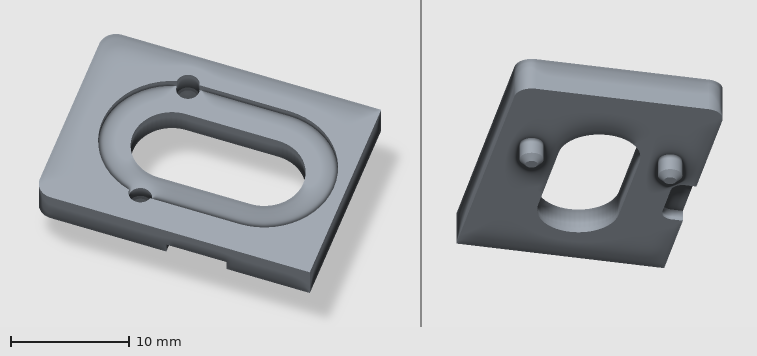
import cadquery as cq

plate_length = 24.8
plate_width = 18.0
plate_thickness = 3.0
corner_radius = 1.5

slot_center_x = 13.35
slot_straight = 8.3
slot_width = 7.0
recess_width = 12.5
recess_depth = 0.7

pin_x = 8.5
pin_y = 6.0
pin_diameter = 2.05
pin_length = 2.0
pin_tip_chamfer = 0.5
socket_diameter = 2.0
socket_depth = 2.0
socket_floor_chamfer = 0.17

notch_start_x = 11.9
notch_length = 5.4
notch_height = 1.0
notch_depth = 2.0
notch_corner_radius = 1.0

pin_positions = [(pin_x, -pin_y), (pin_x, pin_y)]


def make_plate():
    """Flat plate with its two left corners rounded."""
    plate = cq.Workplane("XY").box(
        plate_length, plate_width, plate_thickness, centered=(False, True, False)
    )
    return plate.edges("|Z and <X").fillet(corner_radius)


def make_slot_cutter(width, depth):
    """Rounded-end slot of the given width, cut down from the top face."""
    return (
        cq.Workplane("XY", origin=(slot_center_x, 0, plate_thickness))
        .slot2D(slot_straight + width, width)
        .extrude(-depth)
    )


def make_pins():
    """Pair of pins hanging below the plate, with chamfered tips."""
    pins = cq.Workplane("XY").pushPoints(pin_positions).circle(pin_diameter / 2).extrude(-pin_length)
    return pins.faces("<Z").edges().chamfer(pin_tip_chamfer)


def make_socket_cutter():
    """Pair of blind round sockets with a bevel around the floor."""
    sockets = (
        cq.Workplane("XY", origin=(0, 0, plate_thickness))
        .pushPoints(pin_positions)
        .circle(socket_diameter / 2)
        .extrude(-socket_depth)
    )
    return sockets.faces("<Z").edges().chamfer(socket_floor_chamfer)


def make_notch_cutter():
    """Block with rounded inner corners that cuts the notch in the front edge."""
    notch = (
        cq.Workplane("XY", origin=(notch_start_x, -plate_width / 2, 0))
        .box(notch_length, notch_depth, notch_height, centered=False)
    )
    return notch.edges("|Z and >Y").fillet(notch_corner_radius)


result = (
    make_plate()
    .cut(make_slot_cutter(slot_width, plate_thickness))
    .cut(make_slot_cutter(recess_width, recess_depth))
    .cut(make_socket_cutter())
    .cut(make_notch_cutter())
    .union(make_pins())
)